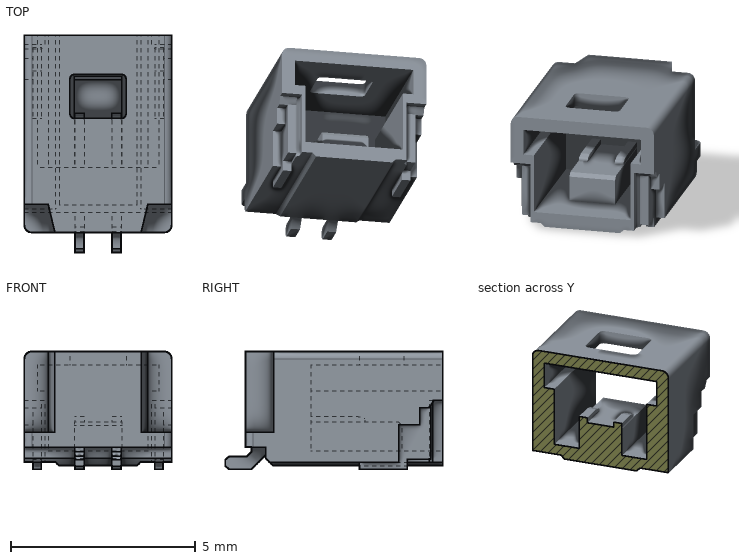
import cadquery as cq


overall_length = 5.9
tail_overhang = 0.55
body_width = 4.0
body_length = overall_length - tail_overhang
body_top = 3.2
body_bottom = 0.2
edge_radius = 0.2

flange_bottom = 0.6
flange_top = 1.005
undercut_depth = 0.55
undercut_chamfer = 0.2
notch_depth = 0.765
notch_inner_width = 0.65
notch_outer_width = 0.83

pad_width = 2.11
pad_bottom = 0.1
pad_height = body_bottom - pad_bottom

roof_thickness = 0.36
back_wall = 1.77
upper_side_wall = 0.36
lower_side_wall = 0.65
ledge_level = 2.13
cavity_floor = 0.5

tongue_width = 1.275
tongue_top = 1.3
tongue_chamfer = 0.1
tongue_end = body_length - 1.115

window_width = 1.52
window_length = 1.2
window_radius = 0.13
window_front = body_length - 1.06

nail_inset = 0.235
nail_thickness = 0.23
nail_inner = nail_inset + nail_thickness
nail_front = body_length - 0.325
nail_top = 1.675
nail_bottom = 0.28
foot_front = body_length - 0.96
foot_back = body_length - 2.26

opening_top = 1.87
opening_lead_start = body_length - 0.24
opening_lead_end = body_length - 0.365
opening_step = body_length - 0.63
opening_step_level = 1.215
opening_back = body_length - 1.2
slot_lead = 0.09
slot_lead_start = body_length - 0.28

pin_pitch = 1.005
pin_width = 0.25
pin_thickness = 0.355
leg_back = 0.16
leg_front = undercut_depth
bend_drop = 0.125
bend_start = pin_thickness + bend_drop
tail_end = -tail_overhang
tail_tip_length = 0.11
tail_tip_drop = 0.09
contact_height = 0.15
contact_end = body_length - 2.11
contact_slope_length = 0.235
contact_slope_drop = 0.06
contact_nose_radius = 0.07


def side_profile(points, x_start, thickness):
    """Extrude a closed (Y, Z) outline along +X from x_start."""
    return cq.Workplane("YZ").polyline(points).close().extrude(thickness).translate((x_start, 0, 0))


def box(width, y_start, y_end, z_start, z_end):
    """Box centred on X between the given Y and Z limits."""
    return (
        cq.Workplane("XY")
        .box(width, y_end - y_start, z_end - z_start, centered=(True, False, False))
        .translate((0, y_start, z_start))
    )


def both_sides(left):
    """Join a left-hand feature with its mirror image."""
    return left.union(left.mirror("YZ"))


def housing_block():
    body = box(body_width, undercut_depth, body_length, body_bottom, body_top)
    body = body.union(box(body_width, 0, undercut_depth, flange_top, body_top))
    body = body.edges("|Y and >Z").fillet(edge_radius)
    flange = box(body_width, 0, notch_depth, flange_bottom, flange_top)
    flange = flange.edges("|Z and <Y").fillet(edge_radius)
    pad = (
        cq.Workplane("XZ")
        .polyline([
            (-pad_width / 2 - pad_height, body_bottom),
            (-pad_width / 2, pad_bottom),
            (pad_width / 2, pad_bottom),
            (pad_width / 2 + pad_height, body_bottom),
        ])
        .close()
        .extrude(undercut_depth - body_length)
        .translate((0, undercut_depth, 0))
    )
    chamfer = side_profile(
        [
            (undercut_depth, pad_bottom),
            (undercut_depth + undercut_chamfer, pad_bottom),
            (undercut_depth, pad_bottom + undercut_chamfer),
        ],
        -body_width / 2,
        body_width,
    )
    return body.union(flange).union(pad).cut(chamfer)


def back_notches():
    side = -body_width / 2
    left = (
        cq.Workplane("XY", origin=(0, 0, flange_top))
        .polyline([
            (side, 0),
            (side + notch_outer_width, 0),
            (side + notch_inner_width, notch_depth),
            (side, notch_depth),
        ])
        .close()
        .extrude(body_top - flange_top)
    )
    return both_sides(left)


def mating_cavity():
    lower = box(body_width - 2 * lower_side_wall, back_wall, body_length, cavity_floor, ledge_level)
    upper = box(
        body_width - 2 * upper_side_wall, back_wall, body_length, ledge_level, body_top - roof_thickness
    )
    return lower.union(upper)


def roof_window():
    window = box(window_width, window_front - window_length, window_front, ledge_level, body_top)
    return window.edges("|Z").fillet(window_radius)


def tongue():
    block = box(tongue_width, back_wall, tongue_end, cavity_floor, tongue_top)
    return block.edges(">Y and >Z").chamfer(tongue_chamfer)


def nail_openings():
    opening = side_profile(
        [
            (body_length, body_bottom),
            (body_length, opening_top),
            (opening_lead_start, opening_top),
            (opening_lead_end, nail_top),
            (opening_step, nail_top),
            (opening_step, opening_step_level),
            (opening_back, opening_step_level),
            (opening_back, body_bottom),
        ],
        -body_width / 2,
        nail_inner,
    )
    slot_wall = nail_inner - body_width / 2
    lead_in = (
        cq.Workplane("XY", origin=(0, 0, body_bottom))
        .polyline([
            (slot_wall, opening_lead_end),
            (slot_wall + slot_lead, slot_lead_start),
            (slot_wall + slot_lead, body_length),
            (slot_wall, body_length),
        ])
        .close()
        .extrude(opening_top - body_bottom)
    )
    return both_sides(opening.union(lead_in))


def solder_nails():
    left = side_profile(
        [
            (nail_front, nail_bottom),
            (foot_front, nail_bottom),
            (foot_front, 0),
            (foot_back, 0),
            (foot_back, nail_bottom),
            (opening_back, nail_bottom),
            (opening_back, opening_step_level),
            (opening_step, opening_step_level),
            (opening_step, nail_top),
            (nail_front, nail_top),
        ],
        nail_inset - body_width / 2,
        nail_thickness,
    )
    return both_sides(left)


def contact_pin(x_center):
    contact_top = tongue_top + contact_height
    tail = side_profile(
        [
            (leg_front, contact_top),
            (leg_back, contact_top),
            (leg_back, bend_start),
            (leg_back - bend_drop, pin_thickness),
            (tail_end + tail_tip_length, pin_thickness),
            (tail_end, pin_thickness - tail_tip_drop),
            (tail_end, tail_tip_drop),
            (tail_end + tail_tip_length, 0),
            (leg_back, 0),
            (leg_front, leg_front - leg_back),
        ],
        x_center - pin_width / 2,
        pin_width,
    )
    contact = side_profile(
        [
            (leg_back, tongue_top),
            (leg_back, contact_top),
            (contact_end - contact_slope_length, contact_top),
            (contact_end, contact_top - contact_slope_drop),
            (contact_end, tongue_top),
        ],
        x_center - pin_width / 2,
        pin_width,
    )
    contact = contact.faces(">Y").edges(">Z").fillet(contact_nose_radius)
    return tail.union(contact)


result = housing_block().cut(back_notches()).cut(mating_cavity()).cut(roof_window()).cut(nail_openings())
result = result.union(tongue()).union(solder_nails())
for pin_side in (-1, 1):
    result = result.union(contact_pin(pin_side * pin_pitch / 2))